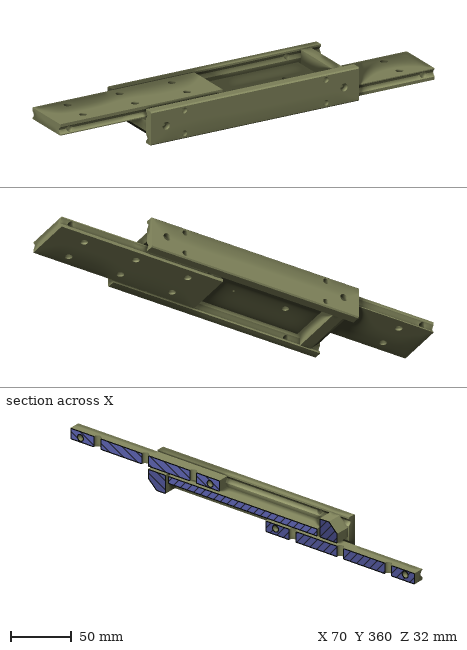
import cadquery as cq
import math

frame_length = 200.0
frame_width = 70.0
frame_height = 30.0
inner_width = 53.0
edge_chamfer = 1.0
web_length = 156.0
web_thickness = 7.0
web_hole_diameter = 6.0
web_hole_offset = 50.0
center_hole_diameter = 1.8

race_depth = 2.5
race_half_height = 3.2
race_bulge = 0.5
race_height = 10.0

stop_hole_diameter = 5.0
stop_hole_offset = 68.0
screw_hole_diameter = 4.0
screw_bore_diameter = 7.0
screw_bore_depth = 5.0

bar_depth = 18.5
bar_height = 17.3
bar_bevel = 8.5
bar_inset = 1.0

overall_length = 360.0
overall_height = 32.0
slide_length = 156.0
slide_width = 45.0
slide_thickness = 10.0
slide_hole_diameter = 6.5
slide_hole_pitch = 50.0
slide_hole_spacing = 25.0
pin_hole_diameter = 5.8
pin_hole_inset = 10.0

bar_outer_y = frame_length / 2 - bar_inset
bar_inner_y = bar_outer_y - bar_depth
bar_screw_y = bar_inner_y + (bar_depth - bar_bevel) / 2
bar_top = web_thickness / 2
slide_top = overall_height / 2
slide_bottom = slide_top - slide_thickness
slide_center_y = (slide_length - overall_length) / 2


def cross_hole(diameter, y, z):
    """Cylinder along X across the whole width at the given Y and Z."""
    return cq.Workplane("YZ").center(y, z).circle(diameter / 2).extrude(frame_width, both=True)


def race(face_x, z, direction):
    """Pointed-arch groove along Y, cut into a face at face_x toward the X direction (-1 or 1)."""
    tip_x = face_x + direction * race_depth
    chord = math.hypot(race_depth, race_half_height)
    middle_x = face_x + direction * (race_depth / 2 + race_bulge * race_half_height / chord)
    middle_rise = race_half_height / 2 + race_bulge * race_depth / chord
    return (
        cq.Workplane("XZ")
        .moveTo(face_x, z - race_half_height)
        .threePointArc((middle_x, z - middle_rise), (tip_x, z))
        .threePointArc((middle_x, z + middle_rise), (face_x, z + race_half_height))
        .close()
        .extrude(overall_length, both=True)
    )


def make_frame():
    """H-shaped frame with ball races, stop holes, counterbored screw holes and web holes."""
    frame = (
        cq.Workplane("XY")
        .box(frame_width, frame_length, frame_height)
        .edges("|Y")
        .chamfer(edge_chamfer)
    )
    channel = cq.Workplane("XY").box(inner_width, frame_length, frame_height)
    web = cq.Workplane("XY").box(inner_width, web_length, web_thickness)
    frame = frame.cut(channel).union(web)

    for side in (-1, 1):
        for z in (-race_height, race_height):
            frame = frame.cut(race(side * inner_width / 2, z, side))

    for y in (-stop_hole_offset, stop_hole_offset):
        for z in (-race_height, race_height):
            frame = frame.cut(cross_hole(stop_hole_diameter, y, z))

    for y in (-bar_screw_y, bar_screw_y):
        frame = frame.cut(cross_hole(screw_hole_diameter, y, 0))
        for side in (-1, 1):
            bore = (
                cq.Workplane("YZ", origin=(side * frame_width / 2, y, 0))
                .circle(screw_bore_diameter / 2)
                .extrude(-side * screw_bore_depth)
            )
            frame = frame.cut(bore)

    web_holes = (
        cq.Workplane("XY")
        .pushPoints([(0, -web_hole_offset), (0, web_hole_offset)])
        .circle(web_hole_diameter / 2)
        .extrude(web_thickness, both=True)
    )
    center_hole = cq.Workplane("XY").circle(center_hole_diameter / 2).extrude(web_thickness, both=True)
    return frame.cut(web_holes).cut(center_hole)


def make_end_bar():
    """Bar at the -Y end, with its lower outer edge bevelled."""
    bar_bottom = bar_top - bar_height
    return (
        cq.Workplane("YZ")
        .moveTo(-bar_inner_y, bar_top)
        .lineTo(-bar_outer_y, bar_top)
        .lineTo(-bar_outer_y, bar_bottom + bar_bevel)
        .lineTo(-bar_outer_y + bar_bevel, bar_bottom)
        .lineTo(-bar_inner_y, bar_bottom)
        .close()
        .extrude(inner_width / 2, both=True)
    )


def make_slide():
    """Upper slide, drawn out toward -Y."""
    slide = cq.Workplane("XY").box(slide_width, slide_length, slide_thickness)
    slide = slide.translate((0, slide_center_y, (slide_top + slide_bottom) / 2))
    for side in (-1, 1):
        slide = slide.cut(race(side * slide_width / 2, race_height, -side))

    mounting_holes = (
        cq.Workplane("XY")
        .center(0, slide_center_y)
        .rarray(slide_hole_spacing, slide_hole_pitch, 2, 3)
        .circle(slide_hole_diameter / 2)
        .extrude(overall_height)
    )
    slide = slide.cut(mounting_holes)

    pin_reach = slide_length / 2 - pin_hole_inset
    for y in (slide_center_y - pin_reach, slide_center_y + pin_reach):
        slide = slide.cut(cross_hole(pin_hole_diameter, y, race_height))
    return slide


frame = make_frame()

end_bars = []
slides = []
for turn in (0, 180):
    end_bars.append(make_end_bar().rotate((0, 0, 0), (1, 0, 0), turn).val())
    slides.append(make_slide().rotate((0, 0, 0), (1, 0, 0), turn).val())

result = cq.Compound.makeCompound([frame.val(), *end_bars, *slides])